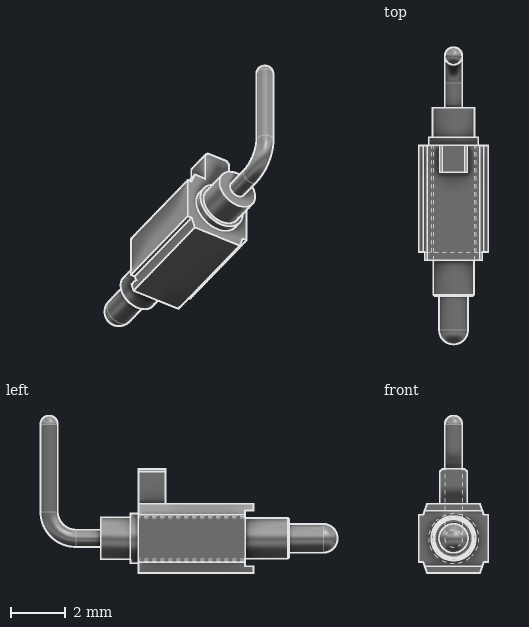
import cadquery as cq


HALF_SIZE = 1.27
SIDE_HALF_HEIGHT = 0.87
SLOPE_BASE = 1.11
SLOPE_TOP = 0.97
HOUSING_LENGTH = 3.9
LIP_LENGTH = 0.3
LIP_THICKNESS = 0.26
BORE_RADIUS = 0.81
TAB_WIDTH = 1.02
TAB_LENGTH = 0.99
TAB_TOP = 2.54
TAB_CHAMFER = 0.11

PLUNGER_RADIUS = 0.53
TIP_Y = -3.37
BARREL_RADIUS = 0.75
BARREL_FRONT_Y = -1.61
BARREL_CHAMFER = 0.05
FLANGE_RADIUS = 0.91
FLANGE_LENGTH = 0.29
COLLAR_RADIUS = 0.77
COLLAR_LENGTH = 1.08
TAIL_DIAMETER = 0.64
TAIL_RADIUS = TAIL_DIAMETER / 2
TAIL_BEND_RADIUS = 0.98
TAIL_BACK_Y = 7.48
TAIL_TOP = 4.48


def make_housing():
    """Stepped block with front lips, an upright tab and a through bore."""
    quarter = [
        (HALF_SIZE, SIDE_HALF_HEIGHT),
        (SLOPE_BASE, SIDE_HALF_HEIGHT),
        (SLOPE_TOP, HALF_SIZE),
    ]
    upper = quarter + [(-x, z) for x, z in reversed(quarter)]
    profile = upper + [(x, -z) for x, z in reversed(upper)]
    full_length = HOUSING_LENGTH + LIP_LENGTH
    block = (
        cq.Workplane("XZ", origin=(0, HOUSING_LENGTH, 0))
        .polyline(profile)
        .close()
        .extrude(full_length)
    )

    front_gap = cq.Workplane("XY").box(
        2 * HALF_SIZE, LIP_LENGTH, 2 * (HALF_SIZE - LIP_THICKNESS)
    ).translate((0, -LIP_LENGTH / 2, 0))

    tab_height = TAB_TOP - HALF_SIZE
    tab = (
        cq.Workplane("XY", origin=(0, HOUSING_LENGTH - TAB_LENGTH / 2, HALF_SIZE))
        .rect(TAB_WIDTH, TAB_LENGTH)
        .extrude(tab_height)
        .faces(">Z")
        .edges("|Y")
        .chamfer(TAB_CHAMFER)
    )

    bore = cq.Workplane("XZ", origin=(0, HOUSING_LENGTH, 0)).circle(BORE_RADIUS).extrude(HOUSING_LENGTH)
    return block.cut(front_gap).union(tab).cut(bore)


def make_turned_contact(collar_back_y):
    """Round-nosed plunger, barrel, flange against the housing and rear collar."""
    flange_back_y = HOUSING_LENGTH + FLANGE_LENGTH
    nose_y = TIP_Y + PLUNGER_RADIUS
    half_profile = (
        cq.Workplane("XY")
        .moveTo(0, TIP_Y)
        .radiusArc((PLUNGER_RADIUS, nose_y), -PLUNGER_RADIUS)
        .lineTo(PLUNGER_RADIUS, BARREL_FRONT_Y)
        .lineTo(BARREL_RADIUS - BARREL_CHAMFER, BARREL_FRONT_Y)
        .lineTo(BARREL_RADIUS, BARREL_FRONT_Y + BARREL_CHAMFER)
        .lineTo(BARREL_RADIUS, HOUSING_LENGTH)
        .lineTo(FLANGE_RADIUS, HOUSING_LENGTH)
        .lineTo(FLANGE_RADIUS, flange_back_y)
        .lineTo(COLLAR_RADIUS, flange_back_y)
        .lineTo(COLLAR_RADIUS, collar_back_y)
        .lineTo(0, collar_back_y)
        .close()
    )
    return half_profile.revolve(360, (0, 0, 0), (0, 1, 0))


def make_tail(start_y):
    """Round wire bent upward, with a domed end."""
    upright_y = TAIL_BACK_Y - TAIL_RADIUS
    dome_z = TAIL_TOP - TAIL_RADIUS
    path = (
        cq.Workplane("YZ")
        .moveTo(start_y, 0)
        .lineTo(upright_y - TAIL_BEND_RADIUS, 0)
        .tangentArcPoint((upright_y, TAIL_BEND_RADIUS), relative=False)
        .lineTo(upright_y, dome_z)
    )
    wire = cq.Workplane("XZ", origin=(0, start_y, 0)).circle(TAIL_RADIUS).sweep(path)
    dome = cq.Workplane("XY").sphere(TAIL_RADIUS).translate((0, upright_y, dome_z))
    return wire.union(dome)


def make_contact():
    collar_back_y = HOUSING_LENGTH + FLANGE_LENGTH + COLLAR_LENGTH
    return make_turned_contact(collar_back_y).union(make_tail(collar_back_y))


housing = make_housing()
contact = make_contact()

result = cq.Compound.makeCompound([housing.val(), contact.val()])